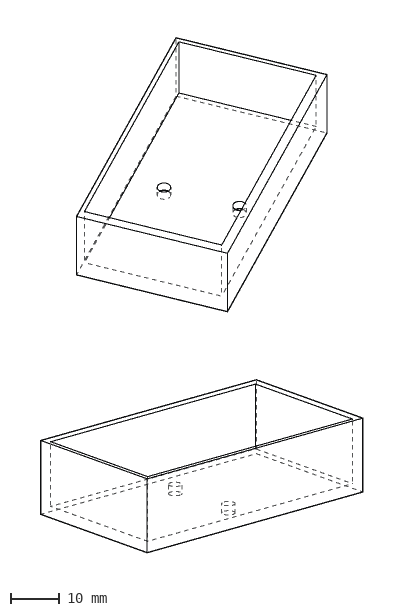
import cadquery as cq

width = 33.0
length = 59.0
height = 16.0

thin_wall = 1.0
thick_wall = 2 * thin_wall
floor_thickness = thick_wall

hole_diameter = 2.8
hole_spacing = width / 2


def make_block():
    return cq.Workplane("XY").box(width, length, height, centered=(True, True, False))


def make_cavity():
    """Open-topped rectangular pocket, offset towards the thin walls."""
    cavity_width = width - thin_wall - thick_wall
    cavity_length = length - thin_wall - thick_wall
    cavity_depth = height - floor_thickness
    offset = (thick_wall - thin_wall) / 2
    return (
        cq.Workplane("XY", origin=(-offset, offset, floor_thickness))
        .rect(cavity_width, cavity_length)
        .extrude(cavity_depth)
    )


def make_floor_holes():
    return (
        cq.Workplane("XY")
        .pushPoints([(-hole_spacing / 2, 0), (hole_spacing / 2, 0)])
        .circle(hole_diameter / 2)
        .extrude(height)
    )


result = make_block().cut(make_cavity()).cut(make_floor_holes())